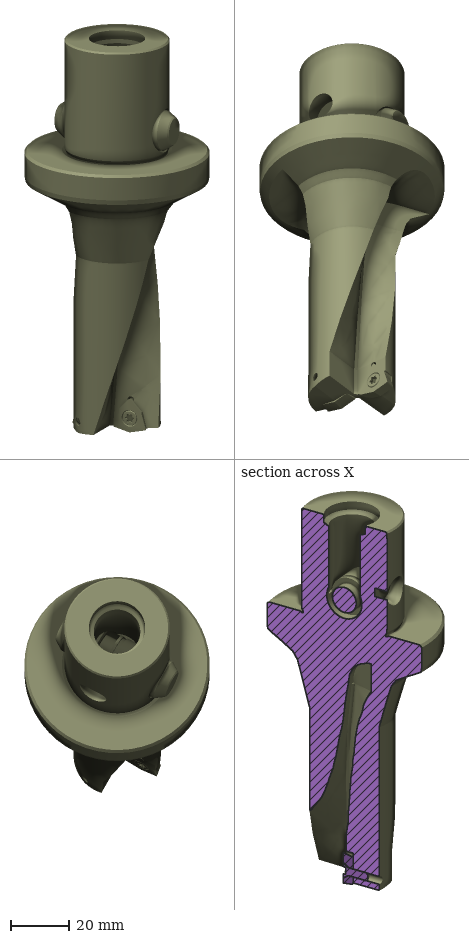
import cadquery as cq
import math

TOTAL_HEIGHT = 139.8
SHANK_RADIUS = 18.0
SHANK_END_CHAMFER = 0.5
FLANGE_TOP_Z = 100.1
FLANGE_RADIUS = 31.7
FLANGE_TOP_CHAMFER = 0.8
FLANGE_RIM_BOTTOM_Z = 91.3
FLANGE_CONE_TOP_Z = 89.6
FLANGE_CONE_TOP_RADIUS = 31.5
NECK_TOP_Z = 83.7
NECK_TOP_RADIUS = 21.5
NECK_BLEND_Z = 81.1
NECK_BLEND_RADIUS = 19.7
DRILL_TOP_Z = 63.9
DRILL_RADIUS = 15.0
END_FACE_Z = 1.1
END_FACE_SLOPE = 0.13

RELIEF_TOP_Z = 101.2
RELIEF_BOTTOM_Z = 99.5
RELIEF_INNER_RADIUS = 17.5
RELIEF_OUTER_RADIUS = 18.9

BORE_RADIUS = 8.0
COUNTERBORE_RADIUS = 9.6
COUNTERBORE_DEPTH = 3.1
BORE_CONE_DEPTH = 1.0
SIDE_HOLE_RADIUS = 5.2
SIDE_HOLE_DEPTH = 5.6
SIDE_HOLE_Z = 115.3

PIN_Z = 109.0
PIN_RADIUS = 7.0
PIN_END_X = 21.4
PIN_SHOULDER_X = 18.0
PIN_NOSE_RADIUS = 5.0
PIN_NOSE_CHAMFER = 0.4
PIN_MOUTH_RADIUS = 7.5
LONG_PIN_INNER_X = 1.8
LONG_PIN_GROOVE_X = 0.8
LONG_PIN_GROOVE_WIDTH = 1.4
LONG_PIN_GROOVE_RADIUS = 6.5
SHORT_PIN_HEAD_X = 6.5
SHORT_PIN_HEAD_CHAMFER = 0.5
SHORT_PIN_NECK_RADIUS = 4.9

FLUTE_START_Z = -1.4
FLUTE_TWIST_END_Z = 76.9
FLUTE_TOP_Z = 87.8
FLUTE_RUNOUT_LENGTH = 14.7
FLUTE_REACH = 35.0
FLUTE_CORNER_BEVEL = 0.8
FLUTE_SECTIONS = 6

OUTER_FLUTE_STRAIGHT_Z = 12.5
OUTER_FLUTE_ANGLE = 180.0
OUTER_FLUTE_TWIST = 1.001
OUTER_FLUTE_CORNER = 2.0
OUTER_FLUTE_CORNER_RATE = 0.025
OUTER_FLUTE_FLOOR = 0.4
OUTER_FLUTE_FLOOR_RATE = 0.03
OUTER_FLUTE_TILT = 0.0
OUTER_FLUTE_TILT_RATE = 0.08584

INNER_FLUTE_ANGLE = 3.0
INNER_FLUTE_TWIST = 0.9299
INNER_FLUTE_CORNER = -2.2
INNER_FLUTE_CORNER_RATE = 0.065
INNER_FLUTE_FLOOR = 0.5
INNER_FLUTE_FLOOR_RATE = 0.02
INNER_FLUTE_TILT = -8.0
INNER_FLUTE_TILT_RATE = 0.09299

INSERT_CORNER_RADIUS = 7.1
INSERT_MID_RADIUS = 5.0
INSERT_THICKNESS = 4.0
INSERT_CORNER_FILLET = 0.4
INSERT_CLEARANCE_ANGLE = 7.0
INSERT_CENTER_Z = INSERT_MID_RADIUS
OUTER_INSERT_X = -9.6
INNER_INSERT_X = 4.9
CORNER_RELIEF_RADIUS = 1.1
CORNER_RELIEF_CENTER = 6.5
OUTER_CLEARANCE_X = -14.4
OUTER_CLEARANCE_TOP_Z = 6.7

SCREW_HEAD_RADIUS = 3.0
SCREW_HEAD_DEPTH = 2.1
SCREW_RADIUS = 1.4
SCREW_LENGTH = 10.0
SCREW_TIP_CHAMFER = 0.4
SCREW_RIM_CHAMFER = 0.4
DRIVE_RADIUS = 1.3
DRIVE_LOBE_RADIUS = 0.4
DRIVE_LOBES = 6
DRIVE_DEPTH = 1.1

OUTER_SEAT = (OUTER_INSERT_X, OUTER_FLUTE_FLOOR, 1)
INNER_SEAT = (INNER_INSERT_X, -INNER_FLUTE_FLOOR, -1)
SEATS = (OUTER_SEAT, INNER_SEAT)


def cylinder_x(radius, start_x, end_x):
    """Cylinder on the pin axis between two X positions."""
    base = cq.Workplane("YZ", origin=(start_x, 0, PIN_Z))
    return base.circle(radius).extrude(end_x - start_x)


def seat_plane(seat):
    """Plane on the insert face: local Y is up, the normal looks out of the face."""
    x, y, facing = seat
    return cq.Workplane(cq.Plane((x, y, INSERT_CENTER_Z), (-facing, 0, 0), (0, facing, 0)))


def turned_blank():
    """Outer shape of the holder, turned about Z."""
    outline = [
        (0, 0),
        (DRILL_RADIUS, 0),
        (DRILL_RADIUS, DRILL_TOP_Z),
        (NECK_BLEND_RADIUS, NECK_BLEND_Z),
        (NECK_TOP_RADIUS, NECK_TOP_Z),
        (FLANGE_CONE_TOP_RADIUS, FLANGE_CONE_TOP_Z),
        (FLANGE_RADIUS, FLANGE_RIM_BOTTOM_Z),
        (FLANGE_RADIUS, FLANGE_TOP_Z - FLANGE_TOP_CHAMFER),
        (FLANGE_RADIUS - FLANGE_TOP_CHAMFER, FLANGE_TOP_Z),
        (RELIEF_OUTER_RADIUS, FLANGE_TOP_Z),
        (RELIEF_INNER_RADIUS, RELIEF_BOTTOM_Z),
        (RELIEF_INNER_RADIUS, FLANGE_TOP_Z),
        (SHANK_RADIUS, RELIEF_TOP_Z),
        (SHANK_RADIUS, TOTAL_HEIGHT - SHANK_END_CHAMFER),
        (SHANK_RADIUS - SHANK_END_CHAMFER, TOTAL_HEIGHT),
        (0, TOTAL_HEIGHT),
    ]
    return cq.Workplane("XZ").polyline(outline).close().revolve(360, (0, 0, 0), (0, 1, 0))


def shank_bore():
    """Stepped bore from the shank end down to the pin axis."""
    cone_top = TOTAL_HEIGHT - COUNTERBORE_DEPTH
    outline = [
        (0, TOTAL_HEIGHT),
        (COUNTERBORE_RADIUS, TOTAL_HEIGHT),
        (COUNTERBORE_RADIUS, cone_top),
        (BORE_RADIUS, cone_top - BORE_CONE_DEPTH),
        (BORE_RADIUS, PIN_Z),
        (0, PIN_Z),
    ]
    return cq.Workplane("XZ").polyline(outline).close().revolve(360, (0, 0, 0), (0, 1, 0))


def side_hole():
    """Blind hole in the +Y side of the shank."""
    plane = cq.Workplane("XZ", origin=(0, SHANK_RADIUS, SIDE_HOLE_Z))
    return plane.circle(SIDE_HOLE_RADIUS).extrude(SIDE_HOLE_DEPTH)


def cross_hole():
    """Through hole for the pins, with a chamfered mouth on both sides of the shank."""
    hole = cylinder_x(PIN_RADIUS, -SHANK_RADIUS, SHANK_RADIUS)
    mouth_depth = PIN_MOUTH_RADIUS - PIN_RADIUS
    mouth_x = math.sqrt(SHANK_RADIUS**2 - PIN_MOUTH_RADIUS**2)
    for side in (-1, 1):
        cone = cq.Solid.makeCone(
            PIN_RADIUS,
            PIN_MOUTH_RADIUS,
            mouth_depth,
            cq.Vector(side * (mouth_x - mouth_depth), 0, PIN_Z),
            cq.Vector(side, 0, 0),
        )
        rim = cylinder_x(PIN_MOUTH_RADIUS, side * mouth_x, side * SHANK_RADIUS)
        hole = hole.union(cq.Workplane(cone)).union(rim)
    return hole


def flute_point(angle, along, off_floor, z):
    """Point given by its distance along the floor direction and its distance off the floor's side."""
    cosine = math.cos(math.radians(angle))
    sine = math.sin(math.radians(angle))
    return cq.Vector(along * cosine + off_floor * sine, along * sine - off_floor * cosine, z)


def flute_section(z, angle, corner, floor, tilt):
    """Level cross-section of a flute: floor, corner bevel and tilted wall."""
    lean = math.tan(math.radians(tilt))
    points = [
        (corner + FLUTE_CORNER_BEVEL, floor),
        (corner + FLUTE_REACH, floor),
        (corner + FLUTE_REACH, floor + FLUTE_REACH),
        (corner + FLUTE_REACH * lean, floor + FLUTE_REACH),
        (corner + FLUTE_CORNER_BEVEL * lean, floor + FLUTE_CORNER_BEVEL),
    ]
    return cq.Wire.makePolygon([flute_point(angle, u, v, z) for u, v in points], close=True)


def flute_runout(angle, corner, floor, tilt):
    """Upper end of a flute: the wall curves over to run straight outwards."""
    rise = FLUTE_TOP_Z - FLUTE_TWIST_END_Z

    def on_floor(along, height):
        return flute_point(angle, corner + along, floor, FLUTE_TWIST_END_Z + height)

    start = on_floor(0, 0)
    curve_end = on_floor(FLUTE_RUNOUT_LENGTH, rise)
    outer_top = on_floor(FLUTE_REACH, rise)
    outer_bottom = on_floor(FLUTE_REACH, 0)
    profile = cq.Wire.assembleEdges([
        cq.Edge.makeSpline([start, curve_end], [cq.Vector(0, 0, 1), outer_top - curve_end]),
        cq.Edge.makeLine(curve_end, outer_top),
        cq.Edge.makeLine(outer_top, outer_bottom),
        cq.Edge.makeLine(outer_bottom, start),
    ])
    lean = math.tan(math.radians(tilt))
    sweep = flute_point(angle, FLUTE_REACH * lean, FLUTE_REACH, 0)
    return cq.Workplane(cq.Solid.extrudeLinear(profile, [], sweep))


def twisted_flute(first_z, first_shape, rates):
    """Twisted flute ending in its run-out; the shape is its angle, corner, floor and tilt."""
    step = (FLUTE_TWIST_END_Z - first_z) / (FLUTE_SECTIONS - 1)
    sections = []
    for index in range(FLUTE_SECTIONS):
        rise = index * step
        shape = [first + rate * rise for first, rate in zip(first_shape, rates)]
        sections.append(flute_section(first_z + rise, *shape))
    twisted = cq.Workplane(cq.Solid.makeLoft(sections))
    return [twisted, flute_runout(*shape)]


def outer_flute():
    """Flute on the -X side: straight beside the insert, twisted above it."""
    shape = (OUTER_FLUTE_ANGLE, OUTER_FLUTE_CORNER, OUTER_FLUTE_FLOOR, OUTER_FLUTE_TILT)
    rates = (OUTER_FLUTE_TWIST, OUTER_FLUTE_CORNER_RATE, OUTER_FLUTE_FLOOR_RATE, OUTER_FLUTE_TILT_RATE)
    ends = [flute_section(z, *shape) for z in (FLUTE_START_Z, OUTER_FLUTE_STRAIGHT_Z)]
    straight = cq.Workplane(cq.Solid.makeLoft(ends, True))
    return [straight, *twisted_flute(OUTER_FLUTE_STRAIGHT_Z, shape, rates)]


def inner_flute():
    """Flute on the +X side, twisted over its whole height."""
    shape = (INNER_FLUTE_ANGLE, INNER_FLUTE_CORNER, INNER_FLUTE_FLOOR, INNER_FLUTE_TILT)
    rates = (INNER_FLUTE_TWIST, INNER_FLUTE_CORNER_RATE, INNER_FLUTE_FLOOR_RATE, INNER_FLUTE_TILT_RATE)
    return twisted_flute(FLUTE_START_Z, shape, rates)


def end_face_cut():
    """Waste below the end face, which rises gently to both sides of each insert centre."""
    def face_z(x, center):
        return END_FACE_Z + END_FACE_SLOPE * abs(x - center)

    middle_x = (OUTER_INSERT_X + INNER_INSERT_X) / 2
    outline = [
        (-FLANGE_RADIUS, FLUTE_START_Z),
        (-FLANGE_RADIUS, face_z(-FLANGE_RADIUS, OUTER_INSERT_X)),
        (OUTER_INSERT_X, END_FACE_Z),
        (middle_x, face_z(middle_x, INNER_INSERT_X)),
        (INNER_INSERT_X, END_FACE_Z),
        (FLANGE_RADIUS, face_z(FLANGE_RADIUS, INNER_INSERT_X)),
        (FLANGE_RADIUS, FLUTE_START_Z),
    ]
    return cq.Workplane("XZ").polyline(outline).close().extrude(FLANGE_RADIUS, both=True)


def insert_blank(seat):
    """Solid insert without its screw hole, narrowing away from its face."""
    points = []
    for index in range(6):
        radius = INSERT_MID_RADIUS if index % 2 else INSERT_CORNER_RADIUS
        angle = math.radians(90 + 60 * index)
        points.append((radius * math.cos(angle), radius * math.sin(angle)))
    blank = seat_plane(seat).polyline(points).close().extrude(-INSERT_THICKNESS, taper=INSERT_CLEARANCE_ANGLE)
    center = cq.Vector(seat[0], seat[1] - seat[2] * INSERT_THICKNESS / 2, INSERT_CENTER_Z)
    middle_radius = (INSERT_CORNER_RADIUS + INSERT_MID_RADIUS) / 2

    def is_corner(edge):
        offset = edge.Center() - center
        crosses_thickness = abs(offset.y) < INSERT_THICKNESS / 4
        return crosses_thickness and math.hypot(offset.x, offset.z) > middle_radius

    return blank.edges().filter(is_corner).fillet(INSERT_CORNER_FILLET)


def outer_clearance():
    """Waste beside the outer insert, which leaves its outermost corner free."""
    base = cq.Workplane("XY", origin=(OUTER_CLEARANCE_X, OUTER_FLUTE_FLOOR, 0))
    return base.rect(-DRILL_RADIUS, -INSERT_THICKNESS, centered=False).extrude(OUTER_CLEARANCE_TOP_Z)


def screw_blank(seat, length):
    """Countersunk screw shape of a given length, without its drive recess."""
    head = seat_plane(seat).circle(SCREW_HEAD_RADIUS)
    head = head.workplane(offset=-SCREW_HEAD_DEPTH).circle(SCREW_RADIUS).loft()
    return head.union(seat_plane(seat).circle(SCREW_RADIUS).extrude(-length))


def make_holder():
    holder = turned_blank().cut(shank_bore()).cut(side_hole()).cut(cross_hole())
    for cutter in [*outer_flute(), *inner_flute(), end_face_cut(), outer_clearance()]:
        holder = holder.cut(cutter)
    for seat in SEATS:
        relief = seat_plane(seat).center(0, CORNER_RELIEF_CENTER).circle(CORNER_RELIEF_RADIUS)
        holder = holder.cut(insert_blank(seat))
        holder = holder.cut(relief.extrude(-INSERT_THICKNESS))
        holder = holder.cut(screw_blank(seat, FLANGE_RADIUS))
    return holder


def make_insert(seat):
    return insert_blank(seat).cut(screw_blank(seat, SCREW_LENGTH))


def make_screw(seat):
    lobes = seat_plane(seat).polarArray(DRIVE_RADIUS, 0, 360, DRIVE_LOBES).circle(DRIVE_LOBE_RADIUS)
    drive = seat_plane(seat).circle(DRIVE_RADIUS).extrude(-DRIVE_DEPTH).union(lobes.extrude(-DRIVE_DEPTH))
    face, tip = (">Y", "<Y") if seat[2] > 0 else ("<Y", ">Y")
    screw = screw_blank(seat, SCREW_LENGTH)
    screw = screw.faces(tip).chamfer(SCREW_TIP_CHAMFER)
    return screw.faces(face).chamfer(SCREW_RIM_CHAMFER).cut(drive)


def pin_body(inner_outline):
    """Pin turned about X, given its inner end as (X, radius) points from the axis outwards."""
    outline = [
        *inner_outline,
        (PIN_SHOULDER_X, PIN_RADIUS),
        (PIN_END_X - PIN_NOSE_CHAMFER, PIN_NOSE_RADIUS),
        (PIN_END_X, PIN_NOSE_RADIUS - PIN_NOSE_CHAMFER),
        (PIN_END_X, 0),
    ]
    plane = cq.Workplane("XZ", origin=(0, 0, PIN_Z))
    return plane.polyline(outline).close().revolve(360, (0, 0, 0), (1, 0, 0))


def make_short_pin():
    """Pin on the +X side: a thin neck that meets the long pin."""
    return pin_body([
        (LONG_PIN_INNER_X, 0),
        (LONG_PIN_INNER_X, SHORT_PIN_NECK_RADIUS),
        (SHORT_PIN_HEAD_X, SHORT_PIN_NECK_RADIUS),
        (SHORT_PIN_HEAD_X, PIN_RADIUS - SHORT_PIN_HEAD_CHAMFER),
        (SHORT_PIN_HEAD_X + SHORT_PIN_HEAD_CHAMFER, PIN_RADIUS),
    ])


def make_long_pin():
    """Pin on the -X side, grooved near its inner end."""
    groove_end_x = LONG_PIN_GROOVE_X - LONG_PIN_GROOVE_WIDTH
    facing_right = pin_body([
        (-LONG_PIN_INNER_X, 0),
        (-LONG_PIN_INNER_X, PIN_RADIUS),
        (-LONG_PIN_GROOVE_X, PIN_RADIUS),
        (-LONG_PIN_GROOVE_X, LONG_PIN_GROOVE_RADIUS),
        (-groove_end_x, LONG_PIN_GROOVE_RADIUS),
        (-groove_end_x, PIN_RADIUS),
    ])
    return facing_right.rotate((0, 0, 0), (0, 0, 1), 180)


holder = make_holder()
inserts = [make_insert(seat) for seat in SEATS]
screws = [make_screw(seat) for seat in SEATS]
long_pin = make_long_pin()
short_pin = make_short_pin()

result = cq.Compound.makeCompound([
    holder.val(),
    *[insert.val() for insert in inserts],
    *[screw.val() for screw in screws],
    long_pin.val(),
    short_pin.val(),
])